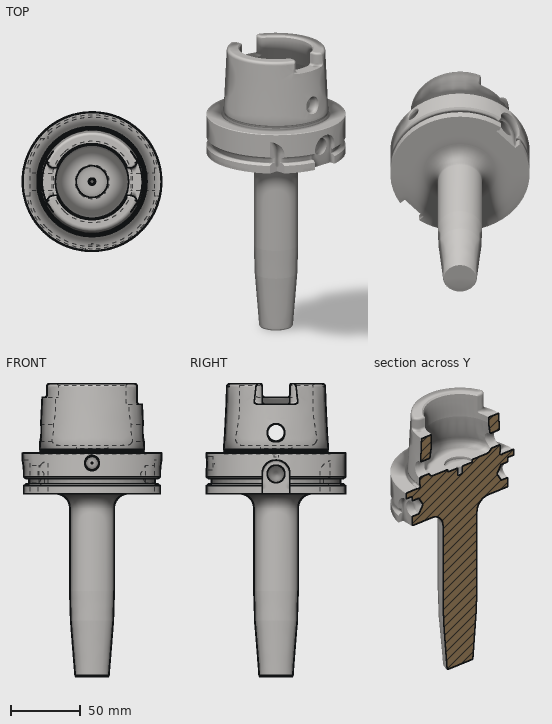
import cadquery as cq
import math


overall_length = 210
shank_height = 49.5
flange_thickness = 29.4
top_z = shank_height
flange_bottom_z = -flange_thickness
tip_z = top_z - overall_length

taper_base_radius = 37.5
taper_base_z = 2.5
taper_top_radius = 35.3
taper_slope = (taper_base_radius - taper_top_radius) / (top_z - taper_base_z)
neck_radius = 37.2
neck_chamfer_height = 0.6
relief_inner_radius = 38.5
relief_outer_radius = 39.5
relief_depth = 0.6
rim_fillet = 2.3

flange_radius = 50.0
flange_chamfer = 0.5
groove_radius = 46.4
groove_top_z = -17.2
groove_bottom_z = -23.7
groove_flank_radius = 48.0
groove_flank_height = 1.5

nose_radius = 16.0
nose_fillet = 10.0
first_taper_z = tip_z + 61.5
second_taper_z = tip_z + 40.3
second_taper_radius = 15.3
tip_radius = 12.2
tip_chamfer_height = 1.0
tip_chamfer_width = 0.6

bore_radius = 26.2
bore_rim_chamfer = 1.0
bore_straight_depth = 19.5
bore_depth = 44.0
bore_floor_radius = 30.0
bore_floor_fillet = 4.8
seat_radius = 11.3
seat_depth = 2.0
centre_hole_radius = 1.7
centre_hole_depth = 6.3
centre_hole_chamfer = 0.8

rim_slot_width = 19.7
rim_slot_depths = {-1: 9.7, 1: 14.7}
rim_slot_corner_radius = 5.0
rim_slot_flat_x = 32.3
rim_slot_floor_fillet = 1.7
rim_slot_top_fillet = 1.7

cross_hole_radius = 6.0
cross_hole_z = top_z - 35.0
cross_hole_chamfer = 0.6

key_slot_width = 20.0
key_slot_centre_z = -15.1
key_slot_floor = 44.5
key_hole_radius = 6.3
key_hole_depth = 6.3
drill_point_angle = 118
notch_centre_y = 41.1
notch_floor = 31.7

chip_z = -7.3
chip_radius = 4.8
chip_depth = 4.6
chip_chamfer = 0.6
chip_centre_radius = 0.5
chip_centre_depth = 1.0


def turned_body():
    profile = (
        cq.Workplane("XZ")
        .moveTo(0, top_z)
        .lineTo(taper_top_radius, top_z)
        .lineTo(taper_base_radius, taper_base_z)
        .lineTo(neck_radius, taper_base_z - neck_chamfer_height)
        .lineTo(neck_radius, relief_depth)
        .lineTo(relief_inner_radius, -relief_depth)
        .lineTo(relief_outer_radius, 0)
        .lineTo(flange_radius - flange_chamfer, 0)
        .lineTo(flange_radius, -flange_chamfer)
        .lineTo(flange_radius, groove_top_z)
        .lineTo(groove_flank_radius, groove_top_z - groove_flank_height)
        .lineTo(groove_radius, groove_top_z - groove_flank_height)
        .lineTo(groove_radius, groove_bottom_z + groove_flank_height)
        .lineTo(groove_flank_radius, groove_bottom_z + groove_flank_height)
        .lineTo(flange_radius, groove_bottom_z)
        .lineTo(flange_radius, flange_bottom_z)
        .lineTo(nose_radius + nose_fillet, flange_bottom_z)
        .radiusArc((nose_radius, flange_bottom_z - nose_fillet), -nose_fillet)
        .lineTo(nose_radius, first_taper_z)
        .lineTo(second_taper_radius, second_taper_z)
        .lineTo(tip_radius, tip_z + tip_chamfer_height)
        .lineTo(tip_radius - tip_chamfer_width, tip_z)
        .lineTo(0, tip_z)
        .close()
    )
    return profile.revolve(360, (0, 0), (0, 1))


def shank_bore():
    """Straight mouth widening into a cone with a rounded floor, then a seat and a centre hole."""
    floor_z = top_z - bore_depth
    straight_end_z = top_z - bore_straight_depth
    bore = (
        cq.Workplane("XZ")
        .moveTo(0, top_z)
        .lineTo(bore_radius + bore_rim_chamfer, top_z)
        .lineTo(bore_radius, top_z - bore_rim_chamfer)
        .lineTo(bore_radius, straight_end_z)
        .lineTo(bore_floor_radius, floor_z)
        .lineTo(0, floor_z)
        .close()
        .revolve(360, (0, 0), (0, 1))
    )
    bore = bore.faces("<Z").edges().fillet(bore_floor_fillet)

    seat_z = floor_z - seat_depth
    seat_and_hole = (
        cq.Workplane("XZ")
        .moveTo(0, floor_z)
        .lineTo(seat_radius, floor_z)
        .lineTo(seat_radius, seat_z)
        .lineTo(centre_hole_radius + centre_hole_chamfer, seat_z)
        .lineTo(centre_hole_radius, seat_z - centre_hole_chamfer)
        .lineTo(centre_hole_radius, seat_z - centre_hole_depth)
        .lineTo(0, seat_z - centre_hole_depth)
        .close()
        .revolve(360, (0, 0), (0, 1))
    )
    return bore.union(seat_and_hole)


def end_wall_edges(z):
    """Edges at height z along the end of one rim lobe, from its inner wall round to its outer flat."""
    margin = 0.2
    near = (0, rim_slot_width / 2 - margin, z - margin)
    far = (rim_slot_flat_x + margin, taper_base_radius - margin, z + margin)
    on_axis = cq.selectors.BoxSelector((-2, 0, z - 2), (margin, flange_radius, z + 2))
    return cq.selectors.BoxSelector(near, far) - on_axis


def rim_slot(depth):
    """Cutter for a slot on the +X side that widens round the outer corners of the rim."""
    floor_z = top_z - depth
    half = rim_slot_width / 2
    corner_x = rim_slot_flat_x - rim_slot_corner_radius
    corner_y = half + rim_slot_corner_radius
    corner_mid = (
        corner_x + rim_slot_corner_radius * math.sin(math.pi / 4),
        corner_y - rim_slot_corner_radius * math.cos(math.pi / 4),
    )
    lobe = (
        cq.Workplane("XY")
        .workplane(offset=floor_z)
        .moveTo(0, half)
        .lineTo(corner_x, half)
        .threePointArc(corner_mid, (rim_slot_flat_x, corner_y))
        .lineTo(rim_slot_flat_x, flange_radius)
        .lineTo(0, flange_radius)
        .close()
        .extrude(depth)
    )
    lobe = lobe.edges(end_wall_edges(top_z)).fillet(rim_slot_top_fillet)
    half_slot = cq.Workplane("XY", origin=(0, 0, floor_z)).rect(flange_radius, taper_base_radius, centered=False)
    half_slot = half_slot.extrude(depth).cut(lobe)
    half_slot = half_slot.edges(end_wall_edges(floor_z)).fillet(rim_slot_floor_fillet)
    return half_slot.union(half_slot.mirror("XZ"))


def cross_hole():
    """Hole through both shank walls, countersunk where it meets the taper."""
    mouth_x = taper_base_radius - taper_slope * (cross_hole_z - taper_base_z)
    mouth_radius = cross_hole_radius + cross_hole_chamfer
    half_hole = (
        cq.Workplane("XY", origin=(0, 0, cross_hole_z))
        .lineTo(0, cross_hole_radius)
        .lineTo(mouth_x - cross_hole_chamfer, cross_hole_radius)
        .lineTo(mouth_x, mouth_radius)
        .lineTo(flange_radius, mouth_radius)
        .lineTo(flange_radius, 0)
        .close()
        .revolve(360, (0, 0), (1, 0))
    )
    return half_hole.union(half_hole.mirror("YZ"))


def key_slot(centre_y, floor_x):
    """Cutter for a round-topped slot open at the bottom of the flange, on the -X side."""
    half = key_slot_width / 2
    return (
        cq.Workplane("YZ", origin=(-floor_x, 0, 0))
        .moveTo(centre_y - half, flange_bottom_z)
        .lineTo(centre_y - half, key_slot_centre_z)
        .radiusArc((centre_y + half, key_slot_centre_z), half)
        .lineTo(centre_y + half, flange_bottom_z)
        .close()
        .extrude(-flange_radius)
    )


def key_hole():
    """Blind hole with a drill point, in the floor of the -X key slot."""
    point_depth = key_hole_radius / math.tan(math.radians(drill_point_angle / 2))
    bottom_x = key_hole_depth - key_slot_floor
    return (
        cq.Workplane("XY", origin=(0, 0, key_slot_centre_z))
        .moveTo(-flange_radius, 0)
        .lineTo(-flange_radius, key_hole_radius)
        .lineTo(bottom_x, key_hole_radius)
        .lineTo(bottom_x + point_depth, 0)
        .close()
        .revolve(360, (0, 0), (1, 0))
    )


def chip_pocket():
    """Flat-bottomed pocket with a chamfered mouth and a centre mark, on the -Y side."""
    mouth_radius = chip_radius + chip_chamfer
    return (
        cq.Workplane("XY", origin=(0, -flange_radius, chip_z))
        .lineTo(mouth_radius, 0)
        .lineTo(chip_radius, chip_chamfer)
        .lineTo(chip_radius, chip_depth)
        .lineTo(chip_centre_radius, chip_depth)
        .lineTo(chip_centre_radius, chip_depth + chip_centre_depth)
        .lineTo(0, chip_depth + chip_centre_depth)
        .close()
        .revolve(360, (0, 0), (0, 1))
    )


result = turned_body().faces(">Z").edges().fillet(rim_fillet)
result = result.cut(shank_bore())

for side, depth in rim_slot_depths.items():
    slot = rim_slot(depth)
    if side < 0:
        slot = slot.mirror("YZ")
    result = result.cut(slot)

result = result.cut(cross_hole())

drive_key = key_slot(0, key_slot_floor).union(key_hole())
result = result.cut(drive_key).cut(drive_key.mirror("YZ"))
result = result.cut(key_slot(notch_centre_y, notch_floor))
result = result.cut(chip_pocket())